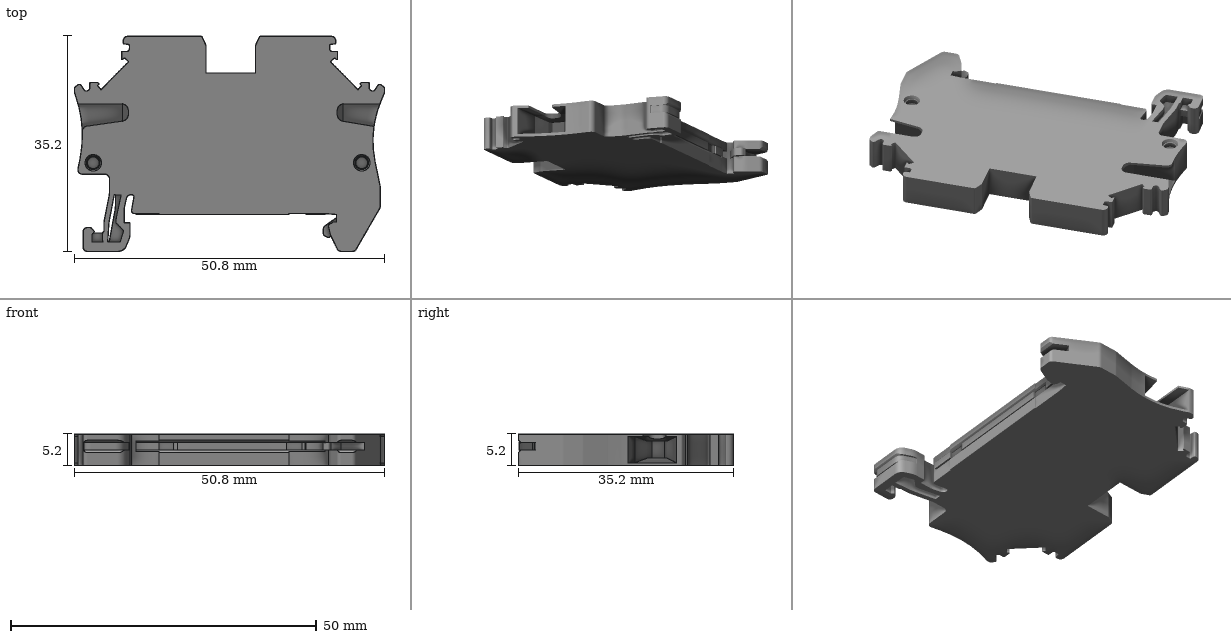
import cadquery as cq
import math

half_width = 25.4
height = 35.25
thickness = 5.2

web_bottom = 2.55
web_top = 3.75
web_range = (web_bottom, web_top)
web_thickness = web_top - web_bottom
web_inset = 0.15
plate_bevel = 0.4

rail_y = 6.05
rail_relief_y = rail_y + 0.15
rail_pad_left = -11.55
rail_pad_right = 9.7
rail_groove_y = rail_y + 0.1
rail_pocket_y = rail_y + 0.5
rail_pockets = ((rail_pad_left, -8.5), (9.3, 12.55))
rail_pocket_slope = 0.7
rail_end_pocket_y = rail_y + 1.0
land_left = -15.3
land_right = 15.65
root_x = 17.5

slot_left = -3.8
slot_right = 4.2
slot_floor = 29.25
slot_lead_y = 33.7
slot_lead = 0.7

notch_top_y = 24.2
notch_tip_bottom_y = 21.5
notch_tip_radius = 1.1
notch_mouth_y = 19.8
entry_mouth_y = 17.9
entry_floor = 0.45
entry_roof = 4.8
entry_top_y = 25.9
entry_throat_bottom_y = 19.1
entry_funnel_start = 0.95
entry_funnel_length = 1.95
entry_funnel_y = (21.15, 24.3)
entry_end_length = 0.75
entry_end_y = (21.9, 23.95)
entry_end_z = (1.25, 4.0)
entry_tip_left = 16.55
entry_tip_right = 17.65

hole_y = 14.55
hole_xs = (-22.3, 21.65)
hole_rim_diameter = 2.7
hole_seat_diameter = 2.25
hole_diameter = 1.95
hole_rim_depth = 0.5
hole_depth = 1.25

foot_left = -24.0
foot_right = -16.25
foot_floor_y = 1.6
window_top_y = 9.3
window_left = -19.9
hook_pocket_right = -20.8
web_foot_top = 3.05
web_foot_radius = 1.15
sole_bevel_range = (17.3, 21.85)


def profile(corners, z, depth):
    """Prism from z upward whose corners (x, y, radius) are rounded by tangent arcs."""
    stops = []
    count = len(corners)
    for i, (x, y, radius) in enumerate(corners):
        before = corners[i - 1]
        after = corners[(i + 1) % count]
        corner = cq.Vector(x, y)
        to_before = (cq.Vector(before[0], before[1]) - corner).normalized()
        to_after = (cq.Vector(after[0], after[1]) - corner).normalized()
        if radius == 0:
            stops.append((corner, None, corner))
            continue
        half_angle = to_before.getAngle(to_after) / 2
        setback = radius / math.tan(half_angle)
        bisector = (to_before + to_after).normalized()
        sagitta = radius / math.sin(half_angle) - radius
        stops.append((corner + to_before * setback, corner + bisector * sagitta, corner + to_after * setback))

    path = cq.Workplane("XY").workplane(offset=z).moveTo(*stops[0][2].toTuple()[:2])
    for start, middle, end in stops[1:] + stops[:1]:
        path = path.lineTo(*start.toTuple()[:2])
        if middle is not None:
            path = path.threePointArc(middle.toTuple()[:2], end.toTuple()[:2])
    return path.close().extrude(depth)


def mirrored(corners):
    """Corners reflected in X, in reversed order so the outline keeps its direction."""
    return [(-x, y, radius) for x, y, radius in reversed(corners)]


def box(x_range, y_range, z_range):
    """Block spanning the given (low, high) ranges."""
    sizes = [b - a for a, b in (x_range, y_range, z_range)]
    return cq.Workplane("XY").box(*sizes, centered=False).translate((x_range[0], y_range[0], z_range[0]))


shoulder = [
    (-half_width, 26.0, 1.0),
    (-half_width, 26.85, 0.4),
    (-24.5, 27.6, 0.4),
    (-23.95, 26.7, 0.2),
    (-23.5, 26.0, 0.45),
    (-22.9, 26.65, 0.15),
    (-22.9, 27.7, 0.25),
    (-21.6, 27.7, 0.15),
    (-21.35, 27.45, 0),
    (-21.6, 27.2, 0),
    (-21.05, 26.55, 0),
    (-16.5, 31.1, 0.1),
    (-17.25, 31.7, 0),
    (-17.55, 31.4, 0),
    (-17.7, 31.4, 0),
    (-17.7, 32.8, 0),
    (-16.4, 32.8, 0.4),
    (-16.4, 33.9, 0.2),
    (-17.45, 34.0, 0.25),
    (-17.45, height, 0.8),
]

marker_slot = [
    (slot_left - slot_lead, height, 0.4),
    (slot_left, slot_lead_y, 0),
    (slot_left, slot_floor, 0),
    (slot_right, slot_floor, 0),
    (slot_right, slot_lead_y, 0),
    (slot_right + slot_lead, height, 0.4),
]

right_side = [
    (22.75, 19.95, 16.75),
    (24.7, 10.6, 1.0),
    (24.7, 7.2, 1.0),
]

right_foot = [
    (20.55, 0, 0.75),
    (17.85, 0, 0.75),
    (16.55, 2.6, 4.05),
    (16.15, 4.3, 0.2),
    (16.95, 4.85, 0.5),
    (root_x, 4.85, 0),
]

rail_seat = [
    (root_x, rail_y, 0),
    (land_right, rail_relief_y, 0),
    (rail_pad_right, rail_relief_y, 0),
    (rail_pad_right, rail_y, 0),
    (rail_pad_left, rail_y, 0),
    (rail_pad_left, rail_relief_y, 0),
    (-16.15, rail_relief_y, 0.5),
    (-15.6, 9.3, 0.35),
]

left_foot = [
    (-16.7, 9.3, 0.75),
    (-17.25, 7.1, 3.05),
    (-17.25, 4.75, 0),
    (foot_right, 4.75, 0.2),
    (foot_right, 2.4, 3.05),
    (-17.3, 0, 1.5),
    (foot_left, 0, 0.75),
    (foot_left, 3.95, 0.75),
    (-22.7, 3.95, 0.5),
    (-21.95, 3.1, 0.25),
    (-20.6, 3.1, 0.3),
    (-20.6, 4.85, 4.05),
    (-19.65, 9.45, 4.05),
    (-19.65, 12.65, 0.75),
]

left_side = [
    (-25.0, 12.65, 0.75),
    (-23.45, 20.6, 19.3),
]

plate_outline = (
    shoulder + marker_slot + mirrored(shoulder) + right_side + right_foot + rail_seat + left_foot + left_side
)
body = profile(plate_outline, 0, thickness)

spring_window = [
    (-18.85, window_top_y, 0),
    (-17.75, window_top_y, 0),
    (-18.55, 5.45, 1.0),
    (-18.55, 4.7, 0),
    (-17.35, 3.4, 0.3),
    (-17.9, foot_floor_y, 0.25),
    (window_left, foot_floor_y, 0),
    (-19.7, 4.85, 7.6),
]
hook_pocket = [
    (-22.5, foot_floor_y, 0),
    (hook_pocket_right, foot_floor_y, 0),
    (hook_pocket_right, 3.3, 0),
    (-22.05, 3.3, 0),
    (-22.5, 2.8, 0),
]
body = body.cut(profile(spring_window, 0, thickness))
body = body.cut(profile(hook_pocket, 0, thickness))

foot_web = [
    (foot_left + web_inset, web_inset, web_foot_radius),
    (-17.6, web_inset, 1.5),
    (-16.35, 3.05, 3.05),
    (-16.35, 4.55, 0),
    (-17.4, 4.55, 0),
    (-17.4, window_top_y, 0),
    (-18.7, window_top_y, 0),
    (-18.7, 7.1, 5.1),
    (-19.7, foot_floor_y, 0),
    (hook_pocket_right, foot_floor_y, 0),
    (hook_pocket_right, web_foot_top, 0),
    (foot_left + web_inset, web_foot_top, 0),
]
body = body.cut(box((foot_left, foot_right), (0, web_foot_top), web_range))
spring_leg_web = profile(
    [
        (hook_pocket_right, web_inset, 0),
        (window_left, web_inset, 0),
        (window_left, web_foot_top, 0),
        (-20.6, web_foot_top, 0),
    ],
    web_bottom,
    web_thickness,
)
body = body.union(profile(foot_web, web_bottom, web_thickness)).union(spring_leg_web)

foot_hollow = [
    (15.25, 0, 0),
    (22.85, 0, 0),
    (22.1, 2.75, 0),
    (20.6, 3.35, 2.05),
    (18.3, 3.35, 0),
    (16.45, 2.55, 0),
    (15.25, 2.55, 0),
]
rail_hook = [
    (root_x, 5.55, 0),
    (15.35, 4.0, 0.65),
    (15.35, 2.65, 0.5),
    (16.25, 2.25, 0.25),
    (17.0, 3.05, 0),
    (18.3, 4.55, 0),
]
body = body.cut(profile(foot_hollow, web_bottom, web_thickness))
body = body.union(profile(rail_hook, web_bottom, web_thickness))

(left_pocket_start, left_pocket_end), (right_pocket_start, right_pocket_end) = rail_pockets
body = body.cut(box((left_pocket_end, right_pocket_start), (rail_y, rail_groove_y), web_range))
for land_range in ((land_left, left_pocket_start), (right_pocket_end, land_right)):
    body = body.union(box(land_range, (rail_y, rail_relief_y), web_range))
for pocket_start, pocket_end in rail_pockets:
    rail_pocket = [
        (pocket_start, rail_y, 0),
        (pocket_end, rail_y, 0),
        (pocket_end - rail_pocket_slope, rail_pocket_y, 0),
        (pocket_start, rail_pocket_y, 0),
    ]
    body = body.cut(profile(rail_pocket, web_bottom, web_thickness))
body = body.cut(box((land_right, root_x), (rail_y, rail_end_pocket_y), web_range))


def plate_bevels(x_range, y):
    """Wedges that bevel both plates where they face the web, along a lower edge at y."""
    start, end = x_range
    wedges = cq.Workplane("YZ", origin=(start, 0, 0))
    lower = [(y, web_bottom), (y, web_bottom - plate_bevel), (y + plate_bevel, web_bottom)]
    upper = [(y, web_top), (y, web_top + plate_bevel), (y + plate_bevel, web_top)]
    return wedges.polyline(lower).close().polyline(upper).close().extrude(end - start)


body = body.cut(plate_bevels((foot_left, foot_right), 0))
body = body.cut(plate_bevels(sole_bevel_range, 0))
body = body.cut(plate_bevels((land_left, land_right), rail_y))


def wire_entry(side, tip):
    """Pocket open to one side (side = -1 or 1), ending in a funnel, notched through the front plate."""
    outer = half_width + 0.5
    throat_x = tip + entry_funnel_start
    funnel_x = throat_x - entry_funnel_length
    end_x = funnel_x - entry_end_length
    pocket = [
        (side * outer, entry_top_y, 0),
        (side * throat_x, entry_top_y, 0),
        (side * throat_x, entry_throat_bottom_y, 0),
        (side * (half_width - 1.5), entry_mouth_y, 0),
        (side * outer, entry_mouth_y, 0),
    ]
    notch = [
        (side * outer, notch_top_y, 0),
        (side * tip, notch_top_y, notch_tip_radius),
        (side * tip, notch_tip_bottom_y, notch_tip_radius),
        (side * 23.7, 20.5, 0.5),
        (side * 24.2, notch_mouth_y, 0),
        (side * outer, notch_mouth_y, 0),
    ]

    def section(distance, y_range, z_range):
        (y0, y1), (z0, z1) = y_range, z_range
        corners = [cq.Vector(side * distance, y, z) for y, z in ((y0, z0), (y1, z0), (y1, z1), (y0, z1))]
        return cq.Wire.makePolygon(corners, close=True)

    throat = section(throat_x, (entry_throat_bottom_y, entry_top_y), (entry_floor, entry_roof))
    funnel = section(funnel_x, entry_funnel_y, entry_end_z)
    end = section(end_x, entry_end_y, entry_end_z)
    cavity = profile(pocket, entry_floor, entry_roof - entry_floor)
    notch_floor = entry_end_z[1]
    for first, last in ((throat, funnel), (funnel, end)):
        cavity = cavity.union(cq.Workplane(obj=cq.Solid.makeLoft([first, last], True)))
    return cavity.union(profile(notch, notch_floor, thickness - notch_floor))


body = body.cut(wire_entry(-1, entry_tip_left)).cut(wire_entry(1, entry_tip_right))


def test_hole(x):
    """Blind hole from the front face with a tapered rim."""
    rim_radius, seat_radius, radius = (d / 2 for d in (hole_rim_diameter, hole_seat_diameter, hole_diameter))
    half_section = [
        (0, 0),
        (rim_radius, 0),
        (seat_radius, -hole_rim_depth),
        (radius, -hole_rim_depth),
        (radius, -hole_depth),
        (0, -hole_depth),
    ]
    turned = cq.Workplane("XZ").polyline(half_section).close().revolve(360, (0, 0), (0, 1))
    return turned.translate((x, hole_y, thickness))


for hole_x in hole_xs:
    body = body.cut(test_hole(hole_x))

result = body